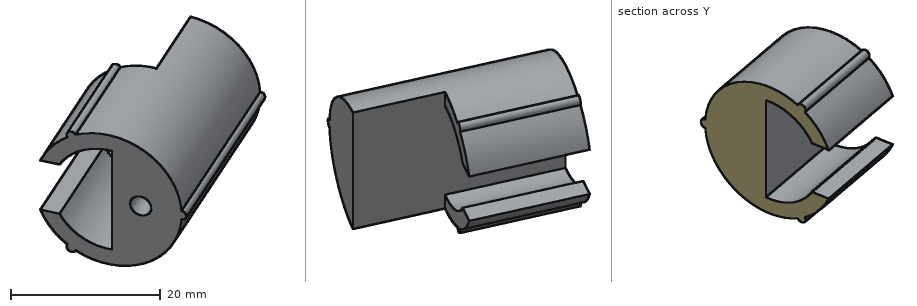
import cadquery as cq
import math

length = 30.0
outer_radius = 10.5
bore_radius = 8.0
clip_length = 17.0
flat_x = 0.5
mouth_half_height = 4.0
rib_radius = 0.7
rib_angles = (0, 120, 240)
hole_diameter = 3.0
hole_x = 4.65
hole_z = 0.1
hole_depth = 9.0
hole_tip_angle = 118.0


def rod(radius, rod_length, x=0.0, z=0.0):
    """Round bar along +Y that starts on the front face."""
    return cq.Workplane("XZ").center(x, z).circle(radius).extrude(-rod_length)


def block(x_min, x_max, y_min, y_max, half_height):
    """Box placed symmetrically about Z = 0."""
    return cq.Workplane("XY").box(
        x_max - x_min, y_max - y_min, 2 * half_height, centered=(False, False, True)
    ).translate((x_min, y_min, 0))


def ribbed_cylinder():
    body = rod(outer_radius, length)
    for angle in rib_angles:
        x = outer_radius * math.cos(math.radians(angle))
        z = outer_radius * math.sin(math.radians(angle))
        body = body.union(rod(rib_radius, length, x, z))
    return body


def clip_opening():
    """Bore left of the flat wall, with the mouth between the arm tips."""
    reach = outer_radius + rib_radius
    bore = rod(bore_radius, clip_length).intersect(
        block(-reach, flat_x, 0, clip_length, outer_radius)
    )
    return bore.union(block(-reach, 0, 0, clip_length, mouth_half_height))


def rear_cutaway():
    """Everything left of the flat wall, behind the arms."""
    reach = outer_radius + rib_radius
    return block(-reach, flat_x, clip_length, length, reach)


def drilled_hole():
    radius = hole_diameter / 2
    tip_length = radius / math.tan(math.radians(hole_tip_angle / 2))
    return (
        cq.Workplane("XY")
        .moveTo(hole_x, 0)
        .lineTo(hole_x + radius, 0)
        .lineTo(hole_x + radius, hole_depth)
        .lineTo(hole_x, hole_depth + tip_length)
        .close()
        .revolve(360, (hole_x, 0, 0), (hole_x, 1, 0))
        .translate((0, 0, hole_z))
    )


result = ribbed_cylinder().cut(clip_opening()).cut(rear_cutaway()).cut(drilled_hole())